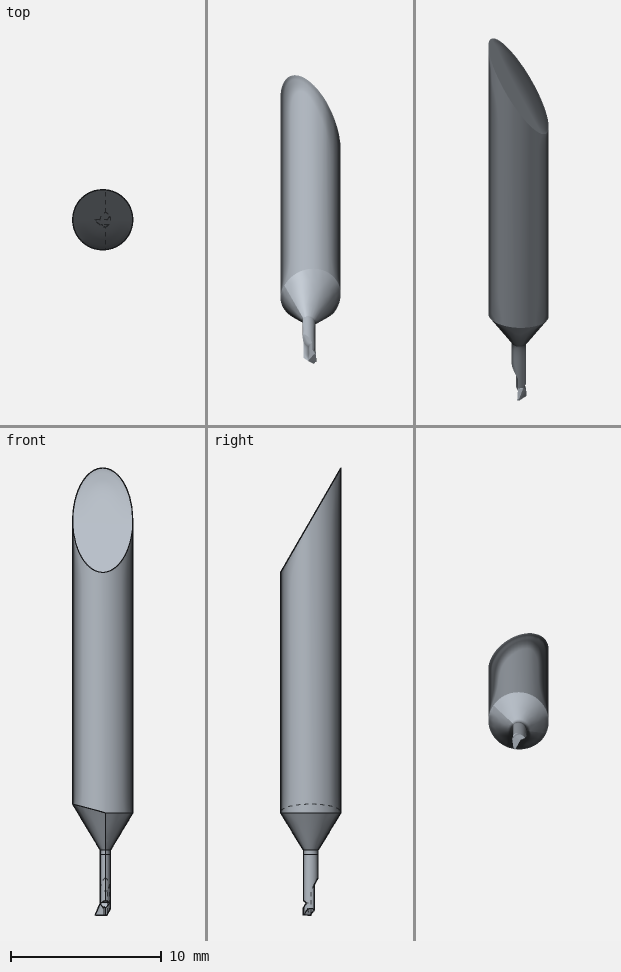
import cadquery as cq
import math


shank_radius = 2.0
total_height = 29.71
slant_angle = 30.0
slant_drop = 2 * shank_radius / math.tan(math.radians(slant_angle))

neck_radius = 0.52
neck_offset = 0.35
neck_left = neck_offset - neck_radius

taper_angle = 31.0
taper_slope = math.tan(math.radians(taper_angle))
taper_bottom = 4.35
parting_height = 4.05

nose_reach = 0.5
nose_tip_x = -0.42
nose_corner_height = 0.05
hook_top = 0.83
primary_flank = (-0.45, -0.13)
flank_end_x = 0.07
flank_end_y = -math.sqrt(neck_radius**2 - flank_end_x**2)

chamfer_start_x = 0.27
chamfer_height = 0.48

relief_rise = 0.05

flute_floor_top = 1.62
runout_angle = 29.0
flute_wall_outer = (0.46, 0.24)
flute_wall_inner = (0.3, 0)

notch_apex = (-0.3, 0.85)
notch_top = 1.02
notch_bottom = 0.45

clearance = 1.0


def lens_taper(height):
    """Overlap of two equal cones on the two neck axes, widening upward from the neck."""
    top_radius = neck_radius + taper_slope * height

    def cone(axis_x):
        return cq.Workplane("XY").add(
            cq.Solid.makeCone(neck_radius, top_radius, height, cq.Vector(axis_x, 0, taper_bottom))
        )

    return cone(0).intersect(cone(neck_offset))


def lens_neck(bottom, top):
    """Straight length of the lens-shaped neck."""
    plane = cq.Workplane("XY", origin=(0, 0, bottom))
    first = plane.circle(neck_radius).extrude(top - bottom)
    second = plane.center(neck_offset, 0).circle(neck_radius).extrude(top - bottom)
    return first.intersect(second)


def make_shank():
    """Slanted round bar, taper and the short stub of neck below it."""
    bar_height = total_height - taper_bottom
    bar = cq.Workplane("XY", origin=(0, 0, taper_bottom)).circle(shank_radius).extrude(bar_height)
    slant = (
        cq.Workplane("YZ")
        .moveTo(-shank_radius, total_height - slant_drop)
        .lineTo(shank_radius, total_height)
        .lineTo(-shank_radius, total_height)
        .close()
        .extrude(shank_radius, both=True)
    )
    tapered_bar = bar.cut(slant).intersect(lens_taper(bar_height))
    return tapered_bar.union(lens_neck(parting_height, taper_bottom))


def make_hook():
    """Nose reaching out of the neck: flanks in plan, sloped back in elevation."""
    plan = (
        cq.Workplane("XY")
        .moveTo(-nose_reach, 0)
        .lineTo(*primary_flank)
        .lineTo(flank_end_x, flank_end_y)
        .lineTo(flank_end_x, 0)
        .close()
        .extrude(hook_top)
    )
    elevation = (
        cq.Workplane("XZ")
        .moveTo(nose_tip_x, 0)
        .lineTo(-nose_reach, nose_corner_height)
        .lineTo(neck_left, hook_top)
        .lineTo(flank_end_x, hook_top)
        .lineTo(flank_end_x, 0)
        .close()
        .extrude(clearance, both=True)
    )
    return plan.intersect(elevation)


def flute_cutter():
    """Chip space: flat rake face and a ramp running out through the +Y side."""
    runout_end_z = flute_floor_top + clearance / math.tan(math.radians(runout_angle))
    profile = (
        cq.Workplane("YZ")
        .lineTo(0, flute_floor_top)
        .lineTo(clearance, runout_end_z)
        .lineTo(clearance, 0)
        .close()
        .extrude(clearance, both=True)
    )
    wall_run = flute_wall_outer[0] - flute_wall_inner[0]
    wall_lead = flute_wall_outer[1] - flute_wall_inner[1]
    wall_far_x = flute_wall_outer[0] + wall_run / wall_lead * (clearance - flute_wall_outer[1])
    plan = (
        cq.Workplane("XY")
        .moveTo(-clearance, 0)
        .lineTo(*flute_wall_inner)
        .lineTo(wall_far_x, clearance)
        .lineTo(-clearance, clearance)
        .close()
        .extrude(runout_end_z)
    )
    return profile.intersect(plan)


def notch_cutter():
    """V notch across the -Y side, just above the nose."""
    return (
        cq.Workplane("YZ")
        .moveTo(-neck_radius, notch_bottom)
        .lineTo(*notch_apex)
        .lineTo(-neck_radius, notch_top)
        .close()
        .extrude(clearance, both=True)
    )


def chamfer_cutter():
    """Slanted corner at the back of the head."""
    return (
        cq.Workplane("XZ")
        .moveTo(chamfer_start_x, 0)
        .lineTo(neck_radius, chamfer_height)
        .lineTo(neck_radius, 0)
        .close()
        .extrude(clearance, both=True)
    )


def relief_cutter():
    """Thin wedge under the nose that leaves the cutting edge lowest."""
    return (
        cq.Workplane("YZ")
        .moveTo(0, 0)
        .lineTo(-neck_radius, relief_rise)
        .lineTo(-neck_radius, 0)
        .close()
        .extrude(clearance, both=True)
    )


def make_cutting_head():
    """Neck with the hooked nose, flute, notch, chamfer and end relief."""
    head = lens_neck(0, parting_height).union(make_hook())
    for cutter in (flute_cutter(), notch_cutter(), chamfer_cutter(), relief_cutter()):
        head = head.cut(cutter)
    return head


shank = make_shank()
cutting_head = make_cutting_head()

result = cq.Compound.makeCompound([shank.val(), cutting_head.val()])